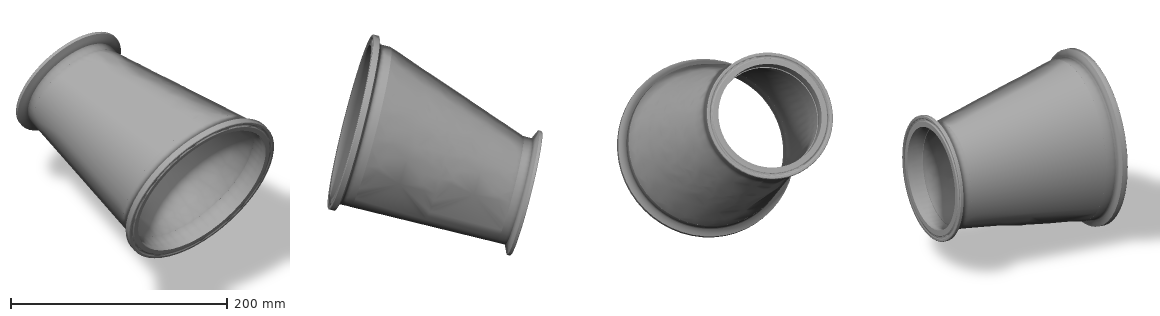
import cadquery as cq
import math

total_length = 174.6
small_ferrule_length = 15.9
large_ferrule_length = 18.9

small_outer_diameter = 101.6
small_bore_diameter = 97.5
large_outer_diameter = 152.5
large_bore_diameter = 146.9

small_flange_diameter = 119.0
large_flange_diameter = 167.0
small_rim_width = 3.1
large_rim_width = 5.8
small_back_angle = 25.0
large_back_angle = 20.0
large_neck_fillet = 1.4
rim_edge_chamfer = 0.5

groove_edge_inset = 2.8
groove_width = 2.6
groove_depth = 1.0
groove_edge_fillet = 0.5

reducer_wall = (large_outer_diameter - large_bore_diameter) / 2

large_axis_y = (large_outer_diameter - small_outer_diameter) / 2
cone_start = small_ferrule_length
cone_end = total_length - large_ferrule_length


def round_circle(body, circle_radius, fillet_radius):
    """Fillet the circular edge of the given radius that lies nearest the flange face."""
    tolerance = 0.002
    circles = body.edges("%CIRCLE").filter(lambda edge: abs(edge.radius() - circle_radius) < tolerance)
    return circles.edges("<X").fillet(fillet_radius)


def make_ferrule(
    length, outer_diameter, bore_diameter, flange_diameter, rim_width, back_angle
):
    """Ferrule around the X axis, with its flange face at X = 0 and its pipe toward +X."""
    bore_radius = bore_diameter / 2
    pipe_radius = outer_diameter / 2
    flange_radius = flange_diameter / 2
    back_rise = (flange_radius - pipe_radius) * math.tan(math.radians(back_angle))
    neck_x = rim_width + back_rise
    groove_outer = flange_radius - groove_edge_inset
    groove_inner = groove_outer - groove_width
    groove_middle = (groove_outer + groove_inner) / 2

    profile = (
        cq.Workplane("XY")
        .moveTo(0, bore_radius)
        .lineTo(0, groove_inner)
        .threePointArc((groove_depth, groove_middle), (0, groove_outer))
        .lineTo(0, flange_radius - rim_edge_chamfer)
        .lineTo(rim_edge_chamfer, flange_radius)
        .lineTo(rim_width, flange_radius)
        .lineTo(neck_x, pipe_radius)
        .lineTo(length, pipe_radius)
        .lineTo(length, bore_radius)
        .close()
    )
    ferrule = profile.revolve(360, (0, 0, 0), (1, 0, 0))
    ferrule = round_circle(ferrule, groove_inner, groove_edge_fillet)
    return round_circle(ferrule, groove_outer, groove_edge_fillet)


def make_cone(small_diameter, large_diameter):
    """Solid eccentric cone between the two ferrules."""
    axis = cq.Vector(1, 0, 0)
    small_circle = cq.Wire.makeCircle(small_diameter / 2, cq.Vector(cone_start, 0, 0), axis)
    large_circle = cq.Wire.makeCircle(
        large_diameter / 2, cq.Vector(cone_end, large_axis_y, 0), axis
    )
    return cq.Workplane(cq.Solid.makeLoft([small_circle, large_circle], True))


small_ferrule = make_ferrule(
    small_ferrule_length,
    small_outer_diameter,
    small_bore_diameter,
    small_flange_diameter,
    small_rim_width,
    small_back_angle,
)

large_ferrule = make_ferrule(
    large_ferrule_length,
    large_outer_diameter,
    large_bore_diameter,
    large_flange_diameter,
    large_rim_width,
    large_back_angle,
)
large_ferrule = round_circle(large_ferrule, large_outer_diameter / 2, large_neck_fillet)
large_ferrule = large_ferrule.rotate((0, 0, 0), (0, 0, 1), 180)
large_ferrule = large_ferrule.translate((total_length, large_axis_y, 0))

reducer = make_cone(small_outer_diameter, large_outer_diameter).cut(
    make_cone(small_outer_diameter - 2 * reducer_wall, large_bore_diameter)
)

result = cq.Compound.makeCompound(
    [*small_ferrule.solids().vals(), *reducer.solids().vals(), *large_ferrule.solids().vals()]
)